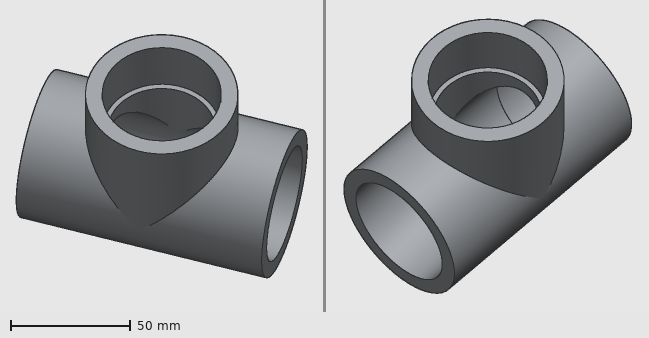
import cadquery as cq

run_length = 108.0
total_height = 85.5
outer_diameter = 64.0
socket_diameter = 50.0
bore_diameter = 45.4
socket_depth = 24.6

half_run = run_length / 2
branch_length = total_height - outer_diameter / 2


def run_cylinder(diameter, start_x, length):
    """Cylinder along the run axis, starting at start_x."""
    return cq.Workplane("YZ", origin=(start_x, 0, 0)).circle(diameter / 2).extrude(length)


def branch_cylinder(diameter, start_z, length):
    """Cylinder along the branch axis, starting at start_z."""
    return cq.Workplane("XY", origin=(0, 0, start_z)).circle(diameter / 2).extrude(length)


body = run_cylinder(outer_diameter, -half_run, run_length)
body = body.union(branch_cylinder(outer_diameter, 0, branch_length))

body = body.cut(run_cylinder(bore_diameter, -half_run, run_length))
body = body.cut(branch_cylinder(bore_diameter, 0, branch_length))

for socket_start in (-half_run, half_run - socket_depth):
    body = body.cut(run_cylinder(socket_diameter, socket_start, socket_depth))
body = body.cut(branch_cylinder(socket_diameter, branch_length - socket_depth, socket_depth))

result = body